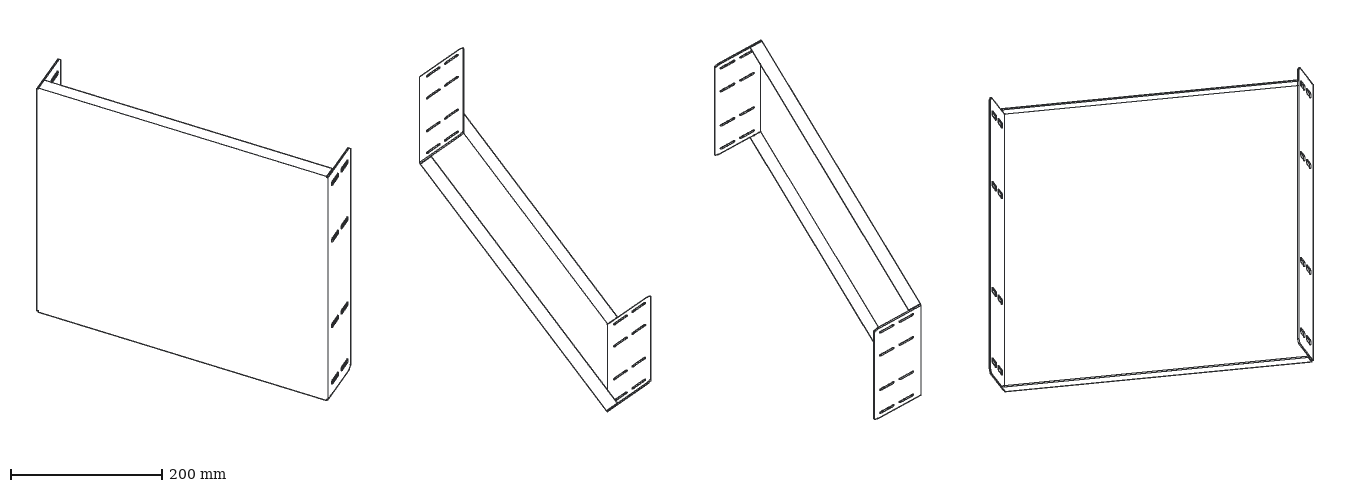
import cadquery as cq

width = 425.0
depth = 71.5
height = 394.0
sheet = 1.9
corner_relief = 2.0
lip_depth = 18.0
flange_corner = 5.0

slot_length = 22.0
slot_width = 7.2
slot_front_y = 22.5
slot_pitch_y = 29.8
slot_inner_z = 75.0
slot_pitch_z = 100.0

side_height = height - 2 * corner_relief
lip_width = width - 2 * corner_relief


def folded_channel(size_x, size_y, size_z, open_faces):
    """Channel with a front web, square folds and open ends and back."""
    block = cq.Workplane("XY").box(size_x, size_y, size_z, centered=(True, False, True))
    return block.faces(open_faces).shell(-sheet)


def side_channel():
    """Front web with the two deep slotted side flanges."""
    channel = folded_channel(width, depth, side_height, ">Y or >Z or <Z")
    return channel.edges("|X and >Y").chamfer(flange_corner)


def lip_channel():
    """Front web with the shallow top and bottom flanges."""
    return folded_channel(lip_width, lip_depth, height, ">Y or >X or <X")


def slot_cutters():
    """Mounting slots running along Y, passing through both side flanges."""
    columns = [slot_front_y, slot_front_y + slot_pitch_y]
    upper_rows = [slot_inner_z, slot_inner_z + slot_pitch_z]
    centers = [(y, side * z) for y in columns for z in upper_rows for side in (-1, 1)]
    return (
        cq.Workplane("YZ")
        .pushPoints(centers)
        .slot2D(slot_length, slot_width)
        .extrude(width, both=True)
    )


result = side_channel().union(lip_channel()).cut(slot_cutters())